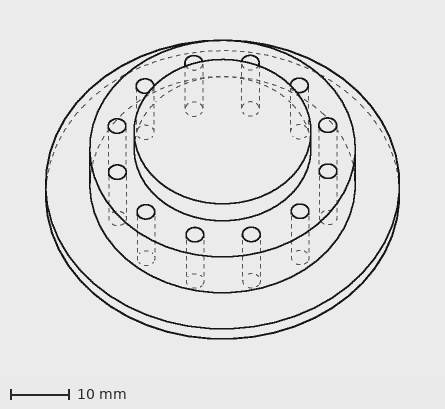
import cadquery as cq

flange_diameter = 60.0
flange_thickness = 3.0
hub_diameter = 45.0
hub_height = 10.5

cap_diameter = 30.0
cap_height = 5.0

hole_count = 12
hole_diameter = 3.0
hole_circle_radius = 18.5

hub_top = flange_thickness + hub_height


def make_disc(diameter, height, bottom=0.0):
    """Upright cylinder on the Z axis, starting at the given height."""
    return cq.Workplane("XY", origin=(0, 0, bottom)).circle(diameter / 2).extrude(height)


def make_hole_cutters():
    """Evenly spaced cylinders that run the full height of the base."""
    return (
        cq.Workplane("XY")
        .polarArray(hole_circle_radius, 0, 360, hole_count)
        .circle(hole_diameter / 2)
        .extrude(hub_top)
    )


def make_flanged_base():
    """Flange and hub in one piece, with the circle of through holes."""
    flange = make_disc(flange_diameter, flange_thickness)
    hub = make_disc(hub_diameter, hub_height, bottom=flange_thickness)
    return flange.union(hub).cut(make_hole_cutters())


def make_cap():
    """Plain disc that rests on the top face of the hub."""
    return make_disc(cap_diameter, cap_height, bottom=hub_top)


flanged_base = make_flanged_base()
cap = make_cap()

result = cq.Compound.makeCompound([flanged_base.val(), cap.val()])